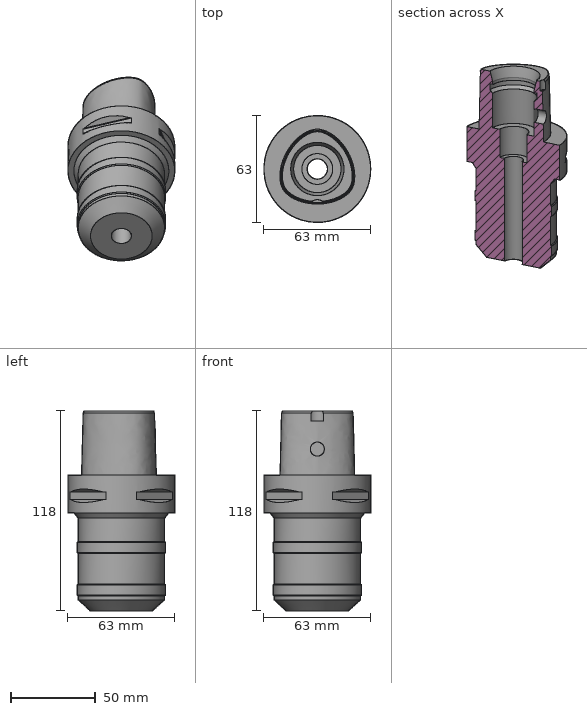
import cadquery as cq
import math

total_height = 118
flange_top = 80.1
flange_bottom = 57.9
body_top = 54.8
nose_height = 6.7

flange_radius = 31.5
neck_radius = 28.0
body_radius = 25.5
band_radius = 26.1
nose_radius = 18.2

band_bottoms = (9.0, 34.0)
band_height = 7.1
band_edge_height = 0.6

shank_base_radius = 22.1
lobe_height = 1.4
taper_per_height = 1 / 40
rim_chamfer_height = 1.4
rim_chamfer_width = 0.6
shank_points = 72

bore_mouth_radius = 15.7
bore_radius = 13.9
bore_cone_depth = 6.5
undercut_radius = 15.8
undercut_start_depth = 8.3
undercut_end_depth = 11.8
bore_depth = 35.4
counterbore_radius = 9.1
counterbore_depth = 53.1
through_radius = 5.9

side_hole_radius = 4.1
side_hole_z = 95.5
side_hole_floor_y = -14.4
notch_radius = 5.1
notch_depth = 6.1
notch_inner_y = -18.0

slot_count = 4
slot_z = 68.0
slot_floor_height = 4.2
slot_flare_angle = 30
slot_floor_distance = 27.7
slot_flare_distance = 28.3
slot_first_angle = 45


def revolve_profile(points):
    """Revolve a closed (radius, height) outline about the Z axis."""
    return cq.Workplane("XZ").polyline(points).close().revolve(360, (0, 0), (0, 1))


def make_body():
    return revolve_profile([
        (0, 0),
        (nose_radius, 0),
        (body_radius, nose_height),
        (body_radius, body_top),
        (neck_radius, flange_bottom),
        (flange_radius, flange_bottom),
        (flange_radius, flange_top),
        (0, flange_top),
    ])


def make_band(bottom):
    top = bottom + band_height
    return revolve_profile([
        (0, bottom),
        (body_radius, bottom),
        (band_radius, bottom + band_edge_height),
        (band_radius, top - band_edge_height),
        (body_radius, top),
        (0, top),
    ])


def lobed_wire(mean_radius, z):
    """Closed three-lobed polygon curve at height z."""
    def point(fraction):
        angle = 2 * math.pi * fraction
        along_lobe = (mean_radius * math.cos(angle) + 2 * lobe_height * math.cos(2 * angle)
                      - lobe_height * math.cos(4 * angle))
        across = (mean_radius * math.sin(angle) - 2 * lobe_height * math.sin(2 * angle)
                  - lobe_height * math.sin(4 * angle))
        return (-across, along_lobe, z)

    points = [cq.Vector(*point(i / shank_points)) for i in range(shank_points)]
    return cq.Wire.assembleEdges([cq.Edge.makeSpline(points, periodic=True)])


def make_shank():
    chamfer_z = total_height - rim_chamfer_height
    chamfer_radius = shank_base_radius - taper_per_height * (chamfer_z - flange_top)
    base = lobed_wire(shank_base_radius, flange_top)
    shoulder = lobed_wire(chamfer_radius, chamfer_z)
    rim = lobed_wire(chamfer_radius - rim_chamfer_width, total_height)
    taper = cq.Solid.makeLoft([base, shoulder], True)
    chamfer = cq.Solid.makeLoft([shoulder, rim], True)
    return cq.Workplane(taper).union(cq.Workplane(chamfer))


def make_bore():
    undercut_cone_depth = undercut_end_depth + undercut_radius - bore_radius
    radius_and_depth = [
        (0, 0),
        (bore_mouth_radius, 0),
        (bore_radius, bore_cone_depth),
        (bore_radius, undercut_start_depth),
        (undercut_radius, undercut_start_depth),
        (undercut_radius, undercut_end_depth),
        (bore_radius, undercut_cone_depth),
        (bore_radius, bore_depth),
        (counterbore_radius, bore_depth),
        (counterbore_radius, counterbore_depth),
        (through_radius, counterbore_depth),
        (through_radius, total_height),
        (0, total_height),
    ]
    return revolve_profile([(radius, total_height - depth) for radius, depth in radius_and_depth])


def make_side_hole():
    hole_length = flange_radius + side_hole_floor_y
    return (
        cq.Workplane("XZ", origin=(0, side_hole_floor_y, side_hole_z))
        .circle(side_hole_radius)
        .extrude(hole_length)
    )


def make_notch():
    return (
        cq.Workplane("XY", origin=(0, notch_inner_y - notch_radius, total_height - notch_depth))
        .circle(notch_radius)
        .extrude(notch_depth)
    )


def make_slot(angle):
    """Slot with a flat floor and short straight walls that flare outwards, cut along a chord of the flange."""
    half_floor = slot_floor_height / 2
    flare_width = (flange_radius - slot_flare_distance) * math.tan(math.radians(slot_flare_angle))
    half_mouth = half_floor + flare_width
    return (
        cq.Workplane("XZ", origin=(0, 0, slot_z))
        .polyline([
            (slot_floor_distance, -half_floor),
            (slot_flare_distance, -half_floor),
            (flange_radius, -half_mouth),
            (flange_radius, half_mouth),
            (slot_flare_distance, half_floor),
            (slot_floor_distance, half_floor),
        ])
        .close()
        .extrude(flange_radius, both=True)
        .rotate((0, 0, 0), (0, 0, 1), angle)
    )


result = make_body().union(make_shank())
for band_bottom in band_bottoms:
    result = result.union(make_band(band_bottom))

result = result.cut(make_bore()).cut(make_side_hole()).cut(make_notch())
for slot_index in range(slot_count):
    slot_angle = slot_first_angle + slot_index * 360 / slot_count
    result = result.cut(make_slot(slot_angle))